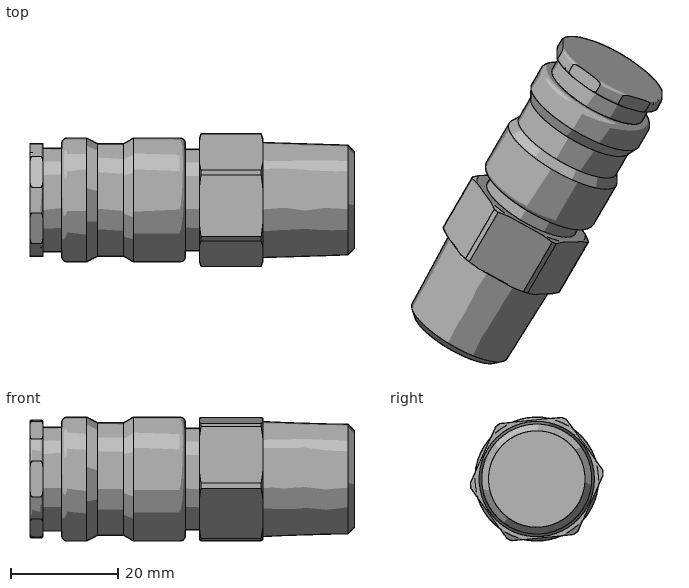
import cadquery as cq
import math

flange_end = 2.5
sleeve_start = 5.95
groove_cone_start = 10.6
groove_start = 12.65
groove_end = 17.5
groove_cone_end = 19.35
sleeve_end = 29.0
hex_start = 31.65
hex_end = 43.45
overall_length = 60.6

flange_diameter = 22.05
flange_across_flats = 21.0
flange_rim_radius = 0.5

front_neck_diameter = 19.4
rear_neck_diameter = 18.95

sleeve_diameter = 23.15
sleeve_groove_diameter = 21.0
sleeve_end_radius = 1.0

hex_across_flats = 22.0
hex_corner_diameter = 24.85
hex_end_diameter = 23.0
hex_chamfer_length = 0.3
hex_rotation = 5.7

taper_start_diameter = 21.5
taper_ratio = 1 / 16
tip_diameter = 18.0
tip_chamfer_length = 1.3


def revolve_profile(points):
    """Turn an outline of (x, radius) points about the X axis."""
    return cq.Workplane("XY").polyline(points).close().revolve(360, (0, 0, 0), (1, 0, 0))


def cylinder(diameter, start, end):
    """Solid cylinder along X between two positions."""
    return cq.Workplane("YZ", origin=(start, 0, 0)).circle(diameter / 2).extrude(end - start)


def hexagon(across_flats, start, end, corner_angle):
    """Hexagonal prism along X with one corner at corner_angle from the Y axis."""
    corner_circle = across_flats / math.cos(math.radians(30))
    prism = cq.Workplane("YZ", origin=(start, 0, 0)).polygon(6, corner_circle).extrude(end - start)
    return prism.rotate((0, 0, 0), (1, 0, 0), corner_angle)


def make_flange():
    """Disc with rounded rims, cut to six flats of which two face the Y axis."""
    disc = cylinder(flange_diameter, 0, flange_end).edges().fillet(flange_rim_radius)
    return disc.intersect(hexagon(flange_across_flats, 0, flange_end, 30))


def make_hex():
    """Hexagon whose corners are turned to a cylinder with a cone at each end."""
    corner_radius = hex_corner_diameter / 2
    end_radius = hex_end_diameter / 2
    turned = revolve_profile([
        (hex_start, 0),
        (hex_start, end_radius),
        (hex_start + hex_chamfer_length, corner_radius),
        (hex_end - hex_chamfer_length, corner_radius),
        (hex_end, end_radius),
        (hex_end, 0),
    ])
    return turned.intersect(hexagon(hex_across_flats, hex_start, hex_end, hex_rotation))


def make_taper():
    """Slightly tapered spigot with a chamfered tip."""
    chamfer_start = overall_length - tip_chamfer_length
    taper_end_diameter = taper_start_diameter - taper_ratio * (chamfer_start - hex_end)
    return revolve_profile([
        (hex_end, 0),
        (hex_end, taper_start_diameter / 2),
        (chamfer_start, taper_end_diameter / 2),
        (overall_length, tip_diameter / 2),
        (overall_length, 0),
    ])


def make_core():
    """Flange, both necks, hexagon and tapered end in one piece."""
    front_neck = cylinder(front_neck_diameter, flange_end, sleeve_start)
    rear_neck = cylinder(rear_neck_diameter, sleeve_start, hex_start)
    return make_flange().union(front_neck).union(rear_neck).union(make_hex()).union(make_taper())


def make_sleeve():
    """Grooved ring that fits closely around the rear neck."""
    bore_radius = rear_neck_diameter / 2
    outer_radius = sleeve_diameter / 2
    groove_radius = sleeve_groove_diameter / 2
    ring = revolve_profile([
        (sleeve_start, bore_radius),
        (sleeve_start, outer_radius),
        (groove_cone_start, outer_radius),
        (groove_start, groove_radius),
        (groove_end, groove_radius),
        (groove_cone_end, outer_radius),
        (sleeve_end, outer_radius),
        (sleeve_end, bore_radius),
    ])
    outer_rims = ring.faces("<X or >X").edges(cq.selectors.RadiusNthSelector(-1))
    return outer_rims.fillet(sleeve_end_radius)


core = make_core()
sleeve = make_sleeve()

result = cq.Compound.makeCompound([core.val(), sleeve.val()])